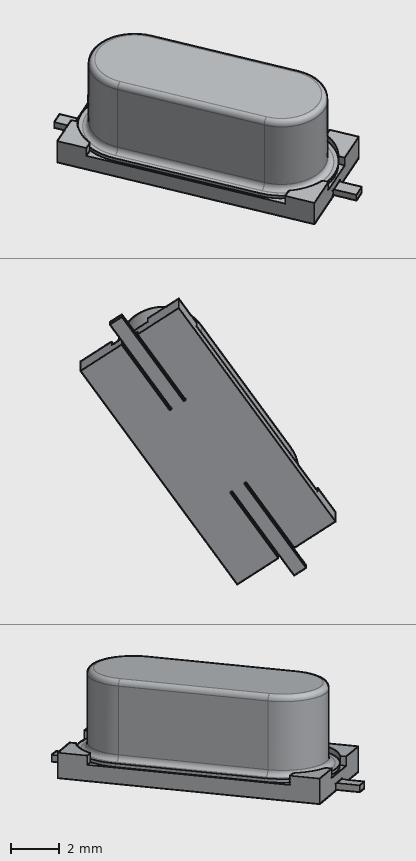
import cadquery as cq

BASE_LENGTH = 11.4
BASE_WIDTH = 4.9
BASE_HEIGHT = 1.1

TOTAL_HEIGHT = 4.3
CAN_STRAIGHT = 6.5
CAN_RADIUS = 1.9
CAN_FILLET = 0.25
FLANGE_RADIUS = 2.35
FLANGE_THICKNESS = 0.15

FLOOR_Z = BASE_HEIGHT - CAN_FILLET - FLANGE_THICKNESS
FLANGE_TOP_Z = FLOOR_Z + FLANGE_THICKNESS

POST_CLEARANCE = 0.01
SIDE_GAP = 8.81
END_GAP = 1.8

TOTAL_LENGTH = 13.4
LEAD_WIDTH = 0.6
LEAD_THICKNESS = 0.3
CHANNEL_WIDTH = 0.8
CHANNEL_LENGTH = 3.5


def box_from(z_bottom, length, width, height, x_center=0):
    """Box centred on Y = 0, standing on z_bottom."""
    return (
        cq.Workplane("XY", origin=(x_center, 0, z_bottom))
        .box(length, width, height, centered=(True, True, False))
    )


def stadium(z_bottom, radius, height):
    """Stadium prism whose end arcs share the centres of the can's end arcs."""
    return (
        cq.Workplane("XY", origin=(0, 0, z_bottom))
        .slot2D(CAN_STRAIGHT + 2 * radius, 2 * radius)
        .extrude(height)
    )


def make_base():
    """Block recessed to the floor everywhere except at the four corner posts."""
    recess_depth = BASE_HEIGHT - FLOOR_Z
    base = box_from(0, BASE_LENGTH, BASE_WIDTH, BASE_HEIGHT)
    base = base.cut(stadium(FLOOR_Z, FLANGE_RADIUS + POST_CLEARANCE, recess_depth))
    base = base.cut(box_from(FLOOR_Z, SIDE_GAP, BASE_WIDTH, recess_depth))
    return base.cut(box_from(FLOOR_Z, BASE_LENGTH, END_GAP, recess_depth))


def make_can():
    """Can body on its flange, filleted at the foot and rounded at the top."""
    flange = stadium(FLOOR_Z, FLANGE_RADIUS, FLANGE_THICKNESS)
    body = stadium(FLOOR_Z, CAN_RADIUS, TOTAL_HEIGHT - FLOOR_Z)
    can = flange.union(body)
    foot_edges = cq.selectors.BoxSelector(
        (-CAN_STRAIGHT, -CAN_RADIUS - CAN_FILLET / 2, FLANGE_TOP_Z - FLANGE_THICKNESS / 2),
        (CAN_STRAIGHT, CAN_RADIUS + CAN_FILLET / 2, FLANGE_TOP_Z + FLANGE_THICKNESS / 2),
        boundingbox=True,
    )
    can = can.edges(foot_edges).fillet(CAN_FILLET)
    return can.faces(">Z").edges().fillet(CAN_FILLET)


def add_lead(part, side):
    """Cut the channel at one end of the base and lay the lead along its middle."""
    inner_x = BASE_LENGTH / 2 - CHANNEL_LENGTH
    channel_center = side * (inner_x + CHANNEL_LENGTH / 2)
    lead_length = TOTAL_LENGTH / 2 - inner_x
    lead_center = side * (inner_x + lead_length / 2)
    channel = box_from(0, CHANNEL_LENGTH, CHANNEL_WIDTH, LEAD_THICKNESS, channel_center)
    lead = box_from(0, lead_length, LEAD_WIDTH, LEAD_THICKNESS, lead_center)
    return part.cut(channel).union(lead)


result = make_base().union(make_can())
for end in (-1, 1):
    result = add_lead(result, end)